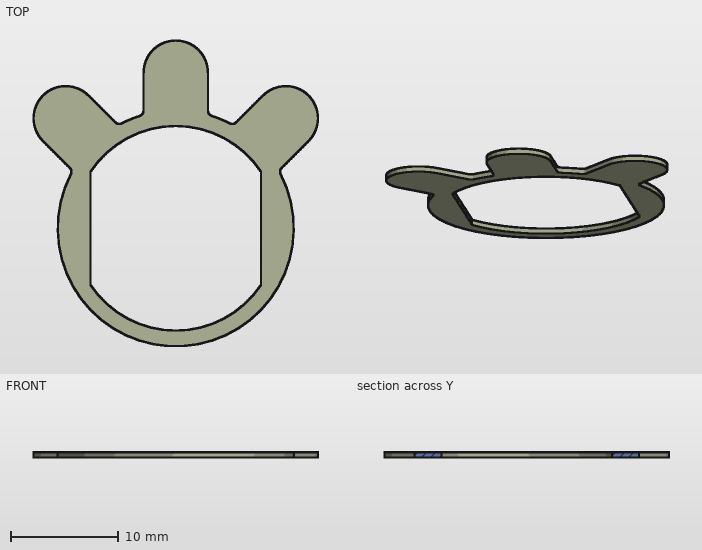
import cadquery as cq
import math

thickness = 0.5
ring_radius = 11.0
opening_radius = 9.52
opening_width = 15.85

overall_length = 28.5
tab_width = 6.0
tab_end_radius = tab_width / 2
tab_reach = overall_length - ring_radius
tab_end_distance = tab_reach - tab_end_radius
tab_angles = (-45, 0, 45)
root_fillet = 0.5


def make_tab(angle):
    """Tab running from the ring centre outwards, turned about Z from +Y."""
    tab = (
        cq.Workplane("XY")
        .moveTo(-tab_end_radius, 0)
        .lineTo(-tab_end_radius, tab_end_distance)
        .threePointArc((0, tab_reach), (tab_end_radius, tab_end_distance))
        .lineTo(tab_end_radius, 0)
        .close()
        .extrude(thickness)
    )
    return tab.rotate((0, 0, 0), (0, 0, 1), angle)


def make_opening():
    """Round opening cut off by a flat on its -X and +X sides."""
    disc = cq.Workplane("XY").circle(opening_radius).extrude(thickness)
    band = cq.Workplane("XY").rect(opening_width, 2 * opening_radius).extrude(thickness)
    return disc.intersect(band)


def round_tab_roots(body):
    """Fillet the inside corners where the tab sides meet the ring."""
    half_angle = math.degrees(math.asin(tab_end_radius / ring_radius))
    for tab_angle in tab_angles:
        for side in (-1, 1):
            angle = math.radians(tab_angle + side * half_angle)
            corner = (-ring_radius * math.sin(angle), ring_radius * math.cos(angle), thickness / 2)
            body = body.edges(cq.NearestToPointSelector(corner)).fillet(root_fillet)
    return body


body = cq.Workplane("XY").circle(ring_radius).extrude(thickness)
for tab_angle in tab_angles:
    body = body.union(make_tab(tab_angle))
body = round_tab_roots(body)
result = body.cut(make_opening())